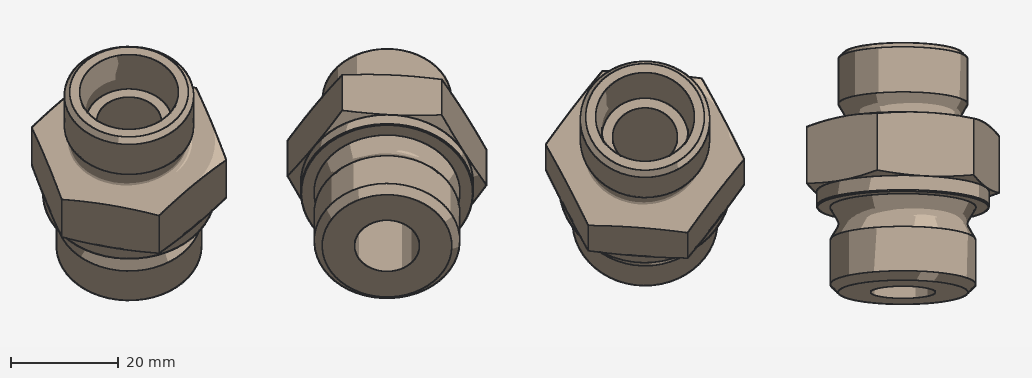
import cadquery as cq
import math

total_length = 45.0
across_flats = 32.0
hex_bottom = 19.0
hex_top = 31.0
hex_bevel_angle = math.radians(15)
hex_face_diameter = 31.9
bevel_clearance = 0.45
groove_angle = math.radians(30)

stud_diameter = 27.0
stud_chamfer = 1.5
stud_groove_diameter = 24.0
stud_groove_start = 9.85
stud_groove_radius = 1.65
collar_diameter = across_flats
collar_bottom = 16.0
collar_chamfer = 0.25
collar_chamfer_width = 0.15

port_diameter = 24.0
port_chamfer = 1.0
neck_diameter = 21.7
port_thread_length = 9.5
neck_groove_radius = 1.2
neck_fillet = 1.0

bore_diameter = 12.0
socket_diameter = 16.0
socket_depth = 8.4
mouth_diameter = 18.3
mouth_angle = math.radians(12)


def turned_body():
    """Revolve the outer profile of both studs, the collar and the neck."""
    stud_r = stud_diameter / 2
    collar_r = collar_diameter / 2
    port_r = port_diameter / 2
    neck_r = neck_diameter / 2
    slope = math.tan(groove_angle)

    floor_r = stud_groove_diameter / 2
    wall_end_r = floor_r + stud_groove_radius * (1 - math.cos(groove_angle))
    wall_length = (stud_r - wall_end_r) / slope
    arc_half = stud_groove_radius * math.sin(groove_angle)
    arc_start = stud_groove_start + wall_length
    arc_end = arc_start + 2 * arc_half
    collar_root_r = wall_end_r + (collar_bottom - arc_end) * slope

    thread_end = total_length - port_thread_length
    blend_r = neck_r + neck_groove_radius * (1 - math.cos(groove_angle))
    blend_top = thread_end - (port_r - blend_r) / slope
    blend_bottom = blend_top - neck_groove_radius * math.sin(groove_angle)
    half_blend = groove_angle / 2
    blend_mid = (
        neck_r + neck_groove_radius * (1 - math.cos(half_blend)),
        blend_bottom + neck_groove_radius * math.sin(half_blend),
    )
    fillet_offset = neck_fillet * (1 - math.sqrt(0.5))

    profile = (
        cq.Workplane("XZ")
        .moveTo(0, 0)
        .lineTo(stud_r - stud_chamfer, 0)
        .lineTo(stud_r, stud_chamfer)
        .lineTo(stud_r, stud_groove_start)
        .lineTo(wall_end_r, arc_start)
        .threePointArc((floor_r, arc_start + arc_half), (wall_end_r, arc_end))
        .lineTo(collar_root_r, collar_bottom)
        .lineTo(collar_r - collar_chamfer_width, collar_bottom)
        .lineTo(collar_r, collar_bottom + collar_chamfer)
        .lineTo(collar_r, hex_bottom)
        .lineTo(neck_r + neck_fillet, hex_bottom)
        .lineTo(neck_r + neck_fillet, hex_top)
        .threePointArc(
            (neck_r + fillet_offset, hex_top + fillet_offset),
            (neck_r, hex_top + neck_fillet),
        )
        .lineTo(neck_r, blend_bottom)
        .threePointArc(blend_mid, (blend_r, blend_top))
        .lineTo(port_r, thread_end)
        .lineTo(port_r, total_length - port_chamfer)
        .lineTo(port_r - port_chamfer, total_length)
        .lineTo(0, total_length)
        .close()
    )
    return profile.revolve(360, (0, 0, 0), (0, 1, 0))


def hexagon():
    """Hexagon with corners on the Y axis and conical bevels at both ends."""
    across_corners = across_flats / math.cos(math.radians(30))
    prism = (
        cq.Workplane("XY", origin=(0, 0, hex_bottom))
        .polygon(6, across_corners)
        .extrude(hex_top - hex_bottom)
        .rotate((0, 0, 0), (0, 0, 1), 30)
    )
    face_r = hex_face_diameter / 2
    outer_r = across_corners / 2 + bevel_clearance
    bevel = (outer_r - face_r) * math.tan(hex_bevel_angle)
    envelope = (
        cq.Workplane("XZ")
        .polyline([
            (0, hex_bottom),
            (face_r, hex_bottom),
            (outer_r, hex_bottom + bevel),
            (outer_r, hex_top - bevel),
            (face_r, hex_top),
            (0, hex_top),
        ])
        .close()
        .revolve(360, (0, 0, 0), (0, 1, 0))
    )
    return prism.intersect(envelope)


def stepped_bore():
    """Through bore, cylindrical socket and conical mouth as one cutter."""
    bore_r = bore_diameter / 2
    socket_r = socket_diameter / 2
    mouth_r = mouth_diameter / 2
    socket_floor = total_length - socket_depth
    cone_bottom = total_length - (mouth_r - socket_r) / math.tan(mouth_angle)
    return (
        cq.Workplane("XZ")
        .polyline([
            (0, 0),
            (bore_r, 0),
            (bore_r, socket_floor),
            (socket_r, socket_floor),
            (socket_r, cone_bottom),
            (mouth_r, total_length),
            (0, total_length),
        ])
        .close()
        .revolve(360, (0, 0, 0), (0, 1, 0))
    )


result = turned_body().union(hexagon()).cut(stepped_bore())